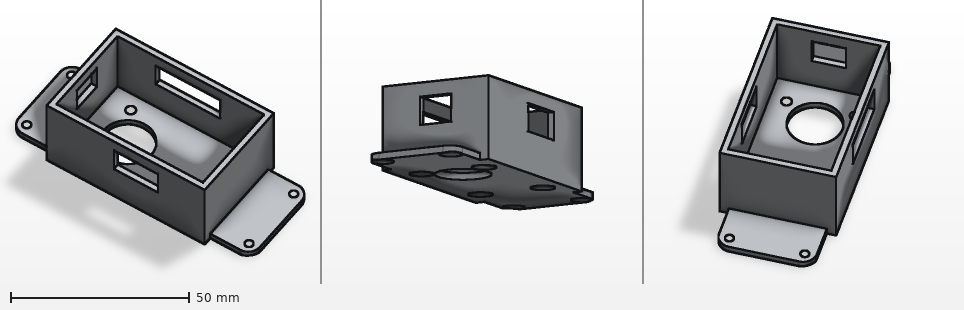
import cadquery as cq

box_length = 54.0
box_width = 34.0
box_height = 24.0
wall = 2.0

flange_length = 82.4
flange_width = 28.6
flange_corner_radius = 4.0
flange_hole_diameter = 2.5
flange_hole_spacing_x = 75.9
flange_hole_spacing_y = 22.0

floor_hole_diameter = 3.0
floor_hole_spacing_x = 34.0
floor_hole_spacing_y = 20.0
large_hole_diameter = 16.0
large_hole_x = -11.05

window_height = 8.1
window_top_margin = 4.0
front_window_width = 15.0
front_window_x = 3.5
back_window_width = 22.0
back_window_x = -1.0
end_window_width = 10.0

window_z = box_height - window_top_margin - window_height / 2
wall_middle_x = (box_length - wall) / 2
wall_middle_y = (box_width - wall) / 2
cutter_depth = 2 * wall


def slab(length, width, height):
    """Box centred in X and Y that rises from Z = 0."""
    return cq.Workplane("XY").box(length, width, height, centered=(True, True, False))


def countersunk_holes(spacing_x, spacing_y, diameter):
    """Cutters for four holes at the corners of a rectangle, widening at 45 degrees to the underside."""
    upper_radius = diameter / 2
    lower_radius = upper_radius + wall
    cutter = cq.Solid.makeCone(lower_radius, upper_radius, wall)
    corners = cq.Workplane("XY").rect(spacing_x, spacing_y, forConstruction=True).vertices()
    return corners.eachpoint(lambda corner: cutter.moved(corner))


def window(size_x, size_y, x, y):
    """Cutter for a rectangular opening in a side wall."""
    return cq.Workplane("XY").box(size_x, size_y, window_height).translate((x, y, window_z))


flange = slab(flange_length, flange_width, wall).edges("|Z").fillet(flange_corner_radius)
cavity = slab(box_length - 2 * wall, box_width - 2 * wall, box_height).translate((0, 0, wall))
result = flange.union(slab(box_length, box_width, box_height)).cut(cavity)

flange_holes = countersunk_holes(flange_hole_spacing_x, flange_hole_spacing_y, flange_hole_diameter)
floor_holes = countersunk_holes(floor_hole_spacing_x, floor_hole_spacing_y, floor_hole_diameter)
large_hole = cq.Workplane("XY").center(large_hole_x, 0).circle(large_hole_diameter / 2).extrude(wall)
result = (
    result.cut(flange_holes)
    .cut(floor_holes)
    .cut(large_hole)
)

result = (
    result.cut(window(front_window_width, cutter_depth, front_window_x, -wall_middle_y))
    .cut(window(back_window_width, cutter_depth, back_window_x, wall_middle_y))
    .cut(window(cutter_depth, end_window_width, -wall_middle_x, 0))
)